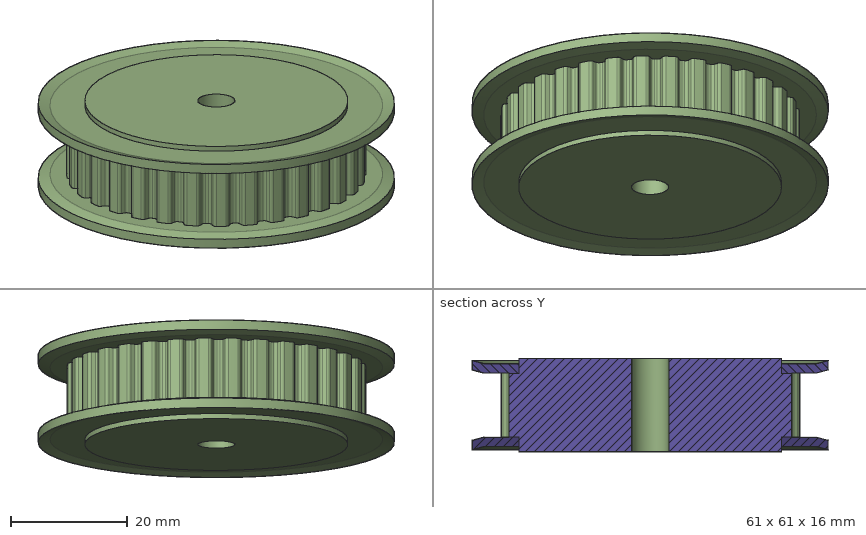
import cadquery as cq
import math

total_height = 16.0
bore_diameter = 6.35

tooth_count = 32
tooth_tip_diameter = 51.25
tooth_width = 10.9
groove_depth = 1.4
groove_floor_width = 1.3
groove_flank_angle = 25.0
tooth_tip_radius = 0.6
groove_floor_radius = 0.6

flange_diameter = 61.0
flange_flat_diameter = 57.0
flange_thickness = 1.65
flange_dish = 0.55

hub_diameter = 45.0

half_tooth_width = tooth_width / 2
tooth_tip_reach = tooth_tip_diameter / 2
groove_floor_reach = tooth_tip_reach - groove_depth


def make_groove():
    """Straight-sided belt groove on the +X side, open a little beyond the tooth tips."""
    flank_slope = math.tan(math.radians(groove_flank_angle))
    overshoot = 0.6
    half_floor = groove_floor_width / 2
    half_mouth = half_floor + (groove_depth + overshoot) * flank_slope
    mouth_reach = tooth_tip_reach + overshoot
    return (
        cq.Workplane("XY", origin=(0, 0, -half_tooth_width))
        .moveTo(groove_floor_reach, -half_floor)
        .lineTo(mouth_reach, -half_mouth)
        .lineTo(mouth_reach, half_mouth)
        .lineTo(groove_floor_reach, half_floor)
        .close()
        .extrude(tooth_width)
    )


def is_tooth_tip(edge):
    """True for an upright edge nearer the tooth tips than the groove floors."""
    center = edge.Center()
    return math.hypot(center.x, center.y) > tooth_tip_reach - groove_depth / 2


def make_toothed_band():
    """Solid cylinder with evenly spaced rounded belt grooves."""
    band = cq.Workplane("XY").circle(tooth_tip_reach).extrude(half_tooth_width, both=True)
    groove = make_groove()
    for index in range(tooth_count):
        band = band.cut(groove.rotate((0, 0, 0), (0, 0, 1), index * 360 / tooth_count))
    upright_edges = band.edges("|Z")
    floor_corners = upright_edges.filter(lambda edge: not is_tooth_tip(edge))
    band = floor_corners.fillet(groove_floor_radius)
    return band.edges("|Z").filter(is_tooth_tip).fillet(tooth_tip_radius)


def make_core():
    """Toothed band with a hub boss on each end and a bore through everything."""
    hub = cq.Workplane("XY").circle(hub_diameter / 2).extrude(total_height / 2, both=True)
    core = make_toothed_band().union(hub)
    return core.faces(">Z").workplane().hole(bore_diameter)


def make_flange():
    """Upper flange, revolved about Z from its cross-section and seated on the toothed band."""
    hole_radius = hub_diameter / 2
    flat_radius = flange_flat_diameter / 2
    rim_radius = flange_diameter / 2
    flat_bottom = half_tooth_width
    flat_top = flat_bottom + flange_thickness
    return (
        cq.Workplane("XZ")
        .moveTo(hole_radius, flat_bottom)
        .lineTo(flat_radius, flat_bottom)
        .lineTo(rim_radius, flat_bottom + flange_dish)
        .lineTo(rim_radius, flat_top + flange_dish)
        .lineTo(flat_radius, flat_top)
        .lineTo(hole_radius, flat_top)
        .close()
        .revolve(360, (0, 0, 0), (0, 1, 0))
    )


core = make_core()
upper_flange = make_flange()
lower_flange = upper_flange.mirror("XY")

result = cq.Compound.makeCompound([core.val(), upper_flange.val(), lower_flange.val()])